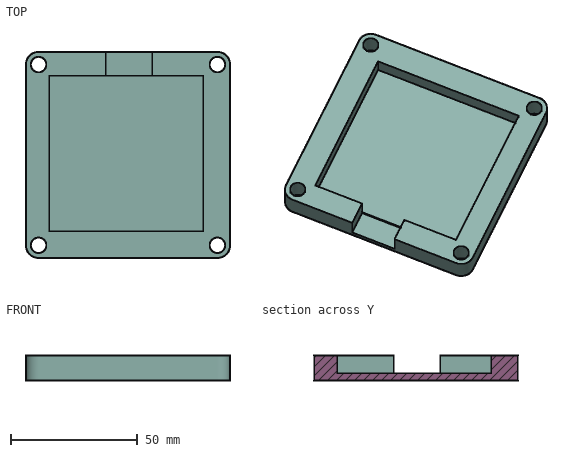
import cadquery as cq

length_x = 80.6
length_y = 81.3
height = 9.9
corner_radius = 5.0

hole_diameter = 6.0

wall_left = 9.3
wall_right = 10.65
wall_front = 10.65
wall_back = 9.5
pocket_depth = 7.0

notch_start = 31.55
notch_width = 18.2
notch_depth = 7.8


def cut_box(size_x, size_y, depth, corner_x, corner_y):
    """Box reaching down from the top face, placed by its -X, -Y corner."""
    box = cq.Workplane("XY").box(size_x, size_y, depth, centered=False)
    return box.translate((corner_x, corner_y, height - depth))


plate = cq.Workplane("XY").box(length_x, length_y, height, centered=False)
plate = plate.edges("|Z").fillet(corner_radius)

hole_centers = [
    (x, y)
    for x in (corner_radius, length_x - corner_radius)
    for y in (corner_radius, length_y - corner_radius)
]
holes = cq.Workplane("XY").pushPoints(hole_centers).circle(hole_diameter / 2).extrude(height)

pocket_width = length_x - wall_left - wall_right
pocket_length = length_y - wall_front - wall_back
pocket = cut_box(pocket_width, pocket_length, pocket_depth, wall_left, wall_front)

notch = cut_box(notch_width, wall_back, notch_depth, notch_start, length_y - wall_back)

result = plate.cut(holes).cut(pocket).cut(notch)